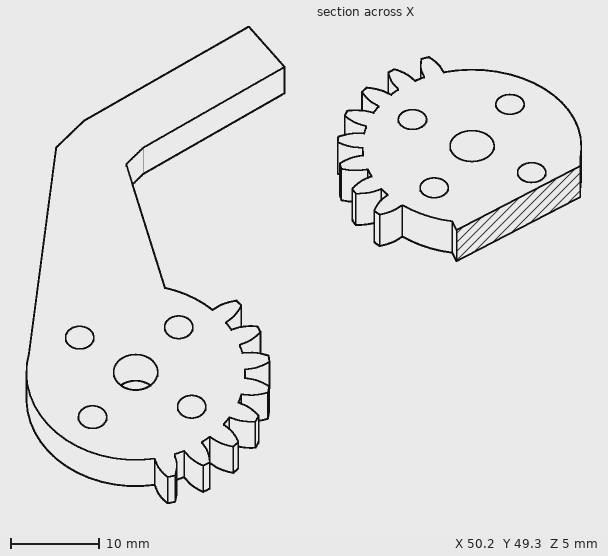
import math
import cadquery as cq

thickness = 5.0

module = 1.27
full_circle_teeth = 22
sector_teeth = 8
first_tooth = -1
tooth_phase = 0.3
pressure_angle = math.radians(20)
addendum = module
dedendum = 1.25 * module
flank_points = 6

tooth_pitch = 360 / full_circle_teeth
pitch_radius = module * full_circle_teeth / 2
tip_radius = pitch_radius + addendum
root_radius = pitch_radius - dedendum
base_radius = pitch_radius * math.cos(pressure_angle)
root_flare = math.radians(0.5)
tooth_overlap = 1.0

bore_diameter = 5.0
screw_diameter = 3.2
screw_circle_radius = 8.0
screw_count = 4
screw_start_angle = 21.0

arm_width = 7.0
arm_tilt = math.radians(4)
outer_side_length = 22.9
inner_side_length = 19.65
arm_end_outer = (-34.94, 36.38)
elbow_outer = (-31.75, 8.85)
elbow_inner = (-25.6, 14.4)
lower_edge_angle = math.radians(226)
upper_edge_angle = math.radians(133)


def polar(radius, angle):
    return (radius * math.cos(angle), radius * math.sin(angle))


def offset(point, distance, angle):
    step = polar(distance, angle)
    return (point[0] + step[0], point[1] + step[1])


def involute(angle):
    """Polar angle swept by the involute at the given pressure angle."""
    return math.tan(angle) - angle


def half_tooth_angle(radius):
    """Angle from the tooth centreline to its flank at a radius on or above the base circle."""
    half_at_pitch = math.pi / (2 * full_circle_teeth)
    return half_at_pitch + involute(pressure_angle) - involute(math.acos(base_radius / radius))


def make_tooth():
    """One involute tooth on +X, its flanks flaring slightly between base and root circles."""
    tip_unroll = math.sqrt((tip_radius / base_radius) ** 2 - 1)
    unrolls = [tip_unroll * i / flank_points for i in range(1, flank_points + 1)]
    radii = [base_radius * math.sqrt(1 + unroll**2) for unroll in unrolls]
    root_half_angle = half_tooth_angle(base_radius) + root_flare
    involute_points = [polar(r, half_tooth_angle(r)) for r in radii]
    upper_flank = [polar(root_radius, root_half_angle)] + involute_points
    lower_flank = [(x, -y) for x, y in upper_flank]
    inner_radius = root_radius - tooth_overlap
    return (
        cq.Workplane("XY")
        .moveTo(*polar(inner_radius, -root_half_angle))
        .lineTo(*lower_flank[0])
        .spline(lower_flank[1:], includeCurrent=True)
        .threePointArc((tip_radius, 0), upper_flank[-1])
        .spline(upper_flank[-2::-1], includeCurrent=True)
        .lineTo(*polar(inner_radius, root_half_angle))
        .close()
        .extrude(thickness)
    )


def make_arm():
    """Straight end, chamfered elbow and a web that widens towards the hub."""
    across = arm_tilt
    along = arm_tilt - math.pi / 2
    arm_end_inner = offset(arm_end_outer, arm_width, across)
    outline = [
        arm_end_outer,
        offset(arm_end_outer, outer_side_length, along),
        elbow_outer,
        polar(root_radius, lower_edge_angle),
        (0, 0),
        polar(root_radius, upper_edge_angle),
        elbow_inner,
        offset(arm_end_inner, inner_side_length, along),
        arm_end_inner,
    ]
    return cq.Workplane("XY").polyline(outline).close().extrude(thickness)


def make_holes():
    """Centre bore and the ring of screw holes, as through cutters."""
    bore = cq.Workplane("XY").circle(bore_diameter / 2).extrude(thickness)
    screw_spacing = 2 * math.pi / screw_count
    start_angle = math.radians(screw_start_angle)
    centres = [polar(screw_circle_radius, start_angle + i * screw_spacing) for i in range(screw_count)]
    screws = cq.Workplane("XY").pushPoints(centres).circle(screw_diameter / 2).extrude(thickness)
    return bore.union(screws)


hub = cq.Workplane("XY").circle(root_radius).extrude(thickness)
body = hub.union(make_arm())

tooth = make_tooth()
for index in range(first_tooth, first_tooth + sector_teeth):
    body = body.union(tooth.rotate((0, 0, 0), (0, 0, 1), tooth_phase + index * tooth_pitch))

result = body.cut(make_holes())